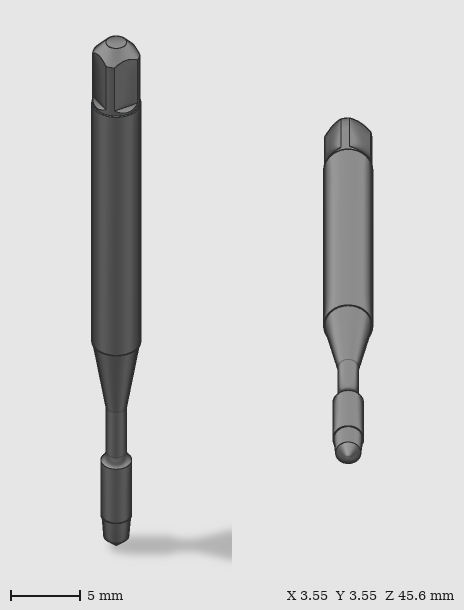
import cadquery as cq
import math

TOTAL_LENGTH = 45.65
SHANK_DIAMETER = 3.55
SHANK_TAPER_DIAMETER = 3.42
SHANK_BOTTOM_Z = 18.55
SHANK_TOP_Z = 40.2

DRIVE_ACROSS_FLATS = 2.85
DRIVE_DIAMETER = 3.42
DRIVE_BASE_Z = SHANK_TOP_Z + (SHANK_DIAMETER - DRIVE_DIAMETER) / 2
DRIVE_TOP_DIAMETER = 1.5
DRIVE_TOP_CHAMFER = 1.05
FLAT_RUN_OUT_Z = 40.4

NECK_DIAMETER = 1.5
NECK_TOP_Z = 12.65
NECK_BOTTOM_Z = 8.55

HEAD_DIAMETER = 2.25
HEAD_TOP_Z = 7.75
LEAD_TOP_Z = 2.85
LEAD_TOP_DIAMETER = 2.1
POINT_DIAMETER = 1.83
POINT_HEIGHT = POINT_DIAMETER / 2


def revolve(outline):
    """Close a (radius, height) outline and revolve it about the Z axis."""
    return outline.close().revolve(360, (0, 0), (0, 1))


def drive_flat_cutter():
    """Material outside the square, ending below in a 45 degree run-out."""
    half_flats = DRIVE_ACROSS_FLATS / 2
    run_out = DRIVE_DIAMETER / 2 - half_flats
    return (
        cq.Workplane("XZ")
        .polyline([
            (half_flats, TOTAL_LENGTH),
            (half_flats, FLAT_RUN_OUT_Z + run_out),
            (half_flats + run_out, FLAT_RUN_OUT_Z),
            (half_flats + run_out, TOTAL_LENGTH),
        ])
        .close()
        .extrude(DRIVE_DIAMETER / 2, both=True)
    )


def make_shank():
    """Shank with square drive, taper and neck, flaring concavely onto the head."""
    neck_radius = NECK_DIAMETER / 2
    flare_width = HEAD_DIAMETER / 2 - neck_radius
    flare_height = NECK_BOTTOM_Z - HEAD_TOP_Z
    flare_radius = (flare_width**2 + flare_height**2) / (2 * flare_width)
    flare_angle = math.asin(flare_height / flare_radius)
    flare_middle = (
        neck_radius + flare_radius * (1 - math.cos(flare_angle / 2)),
        NECK_BOTTOM_Z - flare_radius * math.sin(flare_angle / 2),
    )
    shank = revolve(
        cq.Workplane("XZ")
        .moveTo(0, HEAD_TOP_Z)
        .lineTo(HEAD_DIAMETER / 2, HEAD_TOP_Z)
        .threePointArc(flare_middle, (neck_radius, NECK_BOTTOM_Z))
        .lineTo(neck_radius, NECK_TOP_Z)
        .lineTo(SHANK_TAPER_DIAMETER / 2, SHANK_BOTTOM_Z)
        .lineTo(SHANK_DIAMETER / 2, SHANK_BOTTOM_Z)
        .lineTo(SHANK_DIAMETER / 2, SHANK_TOP_Z)
        .lineTo(DRIVE_DIAMETER / 2, DRIVE_BASE_Z)
        .lineTo(DRIVE_DIAMETER / 2, TOTAL_LENGTH - DRIVE_TOP_CHAMFER)
        .lineTo(DRIVE_TOP_DIAMETER / 2, TOTAL_LENGTH)
        .lineTo(0, TOTAL_LENGTH)
    )
    for angle in (0, 90, 180, 270):
        shank = shank.cut(drive_flat_cutter().rotate((0, 0, 0), (0, 0, 1), angle))
    return shank


def make_head():
    """Cutting head with a tapered lead and a conical point."""
    return revolve(
        cq.Workplane("XZ")
        .moveTo(0, 0)
        .lineTo(POINT_DIAMETER / 2, POINT_HEIGHT)
        .lineTo(LEAD_TOP_DIAMETER / 2, LEAD_TOP_Z)
        .lineTo(HEAD_DIAMETER / 2, LEAD_TOP_Z)
        .lineTo(HEAD_DIAMETER / 2, HEAD_TOP_Z)
        .lineTo(0, HEAD_TOP_Z)
    )


shank = make_shank()
head = make_head()
result = cq.Compound.makeCompound([shank.val(), head.val()])